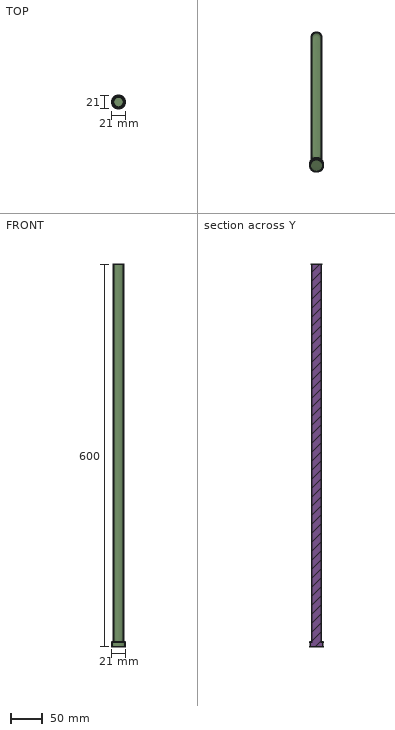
import cadquery as cq

total_length = 600.0
head_diameter = 21.0
head_height = 8.0
shaft_diameter = 16.0
head_chamfer = 0.5
neck_fillet = 0.5

head_radius = head_diameter / 2
shaft_radius = shaft_diameter / 2


def make_pin():
    """Headed pin turned about Z, with the head standing on Z = 0 and a plain flat tip."""
    half_profile = (
        cq.Workplane("XZ")
        .lineTo(head_radius - head_chamfer, 0)
        .lineTo(head_radius, head_chamfer)
        .lineTo(head_radius, head_height - head_chamfer)
        .lineTo(head_radius - head_chamfer, head_height)
        .lineTo(shaft_radius + neck_fillet, head_height)
        .radiusArc((shaft_radius, head_height + neck_fillet), neck_fillet)
        .lineTo(shaft_radius, total_length)
        .lineTo(0, total_length)
        .close()
    )
    return half_profile.revolve(360, (0, 0, 0), (0, 1, 0))


result = make_pin()